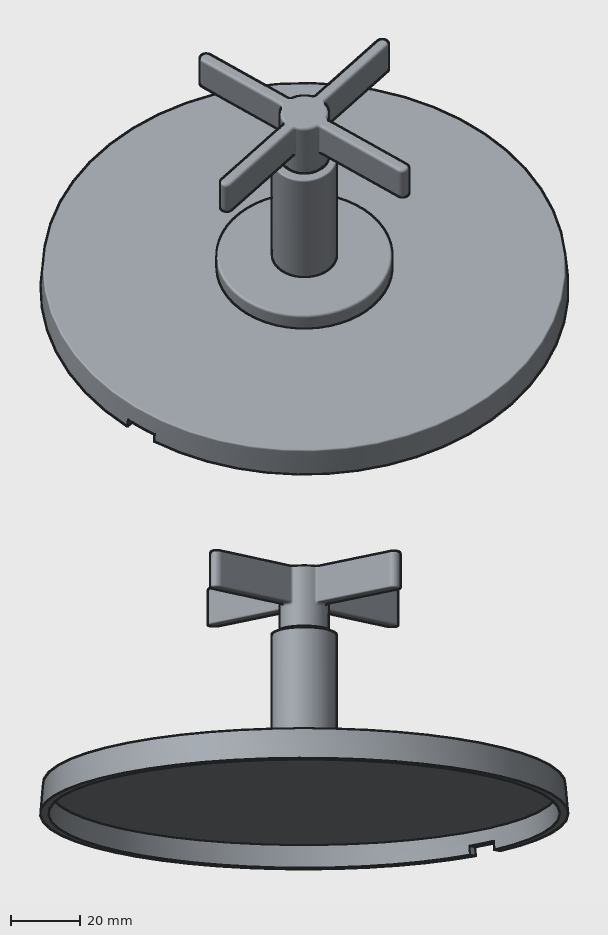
import cadquery as cq
import math

plate_radius = 76.2
plate_top_radius = 75.5
plate_height = 9.0
plate_wall = 2.5
plate_edge_radius = 0.5
notch_width = 9.8
notch_height = 2.6

flange_radius = 25.5
flange_height = 5.0
flange_edge_radius = 0.8

sleeve_radius = 9.5
sleeve_height = 39.0
sleeve_edge_radius = 0.5

handle_height = 18.9
hub_radius = 7.2
neck_radius = 6.4
neck_height = 0.9
arm_count = 4
arm_reach = 38.1
arm_width = 4.0
arm_height = 11.0
arm_root_radius = 0.8
arm_bottom_radius = 0.5
handle_top_radius = 0.9

flange_base = plate_height
sleeve_base = flange_base + flange_height
handle_base = sleeve_base + sleeve_height
handle_top = handle_base + handle_height
arm_base = handle_top - arm_height


def make_disc(base, radius, height, edge_radius):
    """Upright cylinder standing at a base height, with a rounded top edge."""
    disc = cq.Workplane("XY").workplane(offset=base).circle(radius).extrude(height)
    return disc.faces(">Z").edges().fillet(edge_radius)


def make_plate():
    """Tapered cup with a rounded top edge and a notch through its -Y wall."""
    taper = math.degrees(math.atan2(plate_radius - plate_top_radius, plate_height))
    body = cq.Workplane("XY").circle(plate_radius).extrude(plate_height, taper=taper)
    body = body.faces(">Z").edges().fillet(plate_edge_radius)
    cavity = (
        cq.Workplane("XY")
        .circle(plate_radius - plate_wall)
        .extrude(plate_height - plate_wall, taper=taper)
    )
    notch = cq.Workplane("XY").box(
        notch_width, plate_radius, notch_height, centered=(True, False, False)
    )
    return body.cut(cavity).cut(notch.translate((0, -plate_radius, 0)))


def make_arm(angle):
    """Flat radial arm with a half-round tip and rounded bottom edges."""
    tip_radius = arm_width / 2
    arm = (
        cq.Workplane("XY")
        .workplane(offset=arm_base)
        .moveTo(0, -tip_radius)
        .lineTo(arm_reach - tip_radius, -tip_radius)
        .threePointArc((arm_reach, 0), (arm_reach - tip_radius, tip_radius))
        .lineTo(0, tip_radius)
        .close()
        .extrude(arm_height)
    )
    arm = arm.faces("<Z").edges(">X or >Y or <Y").fillet(arm_bottom_radius)
    return arm.rotate((0, 0, 0), (0, 0, 1), angle)


def make_handle():
    """Round hub on a short neck, with equal arms, blended at the roots and rounded on top."""
    handle = (
        cq.Workplane("XY")
        .workplane(offset=handle_base)
        .circle(neck_radius)
        .extrude(neck_height)
        .faces(">Z")
        .workplane()
        .circle(hub_radius)
        .extrude(handle_height - neck_height)
    )
    for index in range(arm_count):
        handle = handle.union(make_arm(index * 360 / arm_count))
    root_zone = cq.selectors.BoxSelector(
        (-hub_radius, -hub_radius, arm_base - arm_root_radius),
        (hub_radius, hub_radius, handle_top - arm_root_radius),
    )
    handle = handle.edges(root_zone).fillet(arm_root_radius)
    return handle.faces(">Z").edges().fillet(handle_top_radius)


plate = make_plate()
flange = make_disc(flange_base, flange_radius, flange_height, flange_edge_radius)
sleeve = make_disc(sleeve_base, sleeve_radius, sleeve_height, sleeve_edge_radius)
handle = make_handle()

result = cq.Compound.makeCompound([plate.val(), flange.val(), sleeve.val(), handle.val()])